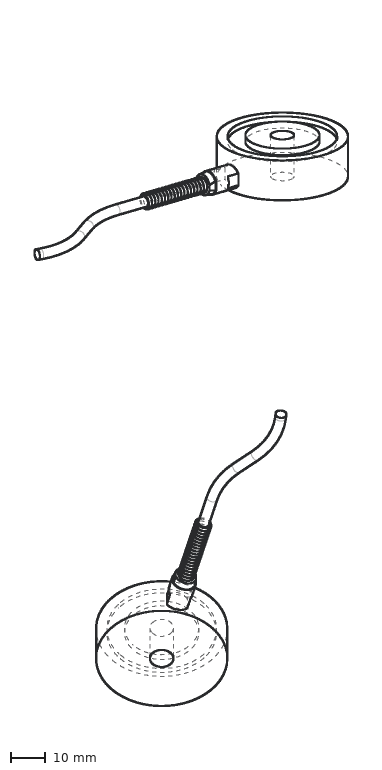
import cadquery as cq
import math

body_diameter = 37.59
overall_height = 12.7
hub_rise = 0.38
hub_diameter = 21.21
recess_diameter = 31.37
recess_depth = 1.6
bore_diameter = 6.71
rim_height = overall_height - hub_rise
body_radius = body_diameter / 2

gland_height = 4.59
gland_diameter = 7.06
gland_embed = 2.5
gland_length = 8.05
flat_length = 3.6
across_flats = 6.05
nose_start_diameter = 6.71
nose_end_diameter = 6.25
nose_length = 2.25

spring_diameter = 4.8
coil_count = 18
coil_pitch = 1.185
coil_depth = 0.4
spring_length = coil_count * coil_pitch

cable_diameter = 3.17
cable_tilt = 6.0
straight_length = 10.2
first_bend_radius = 25.4
first_bend_angle = 32.0
middle_length = 7.5
second_bend_radius = 24.5
second_bend_angle = 41.0
tip_length = 1.23

gland_end_y = -body_radius - gland_length
nose_end_y = gland_end_y - nose_length
spring_end_y = nose_end_y - spring_length


def make_body():
    """Disc with an annular recess around a raised hub and a through bore."""
    recess_floor = rim_height - recess_depth
    body = cq.Workplane("XY").circle(body_radius).extrude(rim_height)
    recess = (
        cq.Workplane("XY", origin=(0, 0, recess_floor))
        .circle(recess_diameter / 2)
        .extrude(recess_depth)
    )
    hub = cq.Workplane("XY").circle(hub_diameter / 2).extrude(overall_height)
    bore = cq.Workplane("XY").circle(bore_diameter / 2).extrude(overall_height)
    return body.cut(recess).union(hub).cut(bore)


def flat_block(start_y, length):
    """Block as wide as the wrench flats, used to trim a round stretch along -Y."""
    block = cq.Workplane("XY").box(across_flats, length, gland_diameter)
    return block.translate((0, start_y - length / 2, 0))


def make_gland():
    """Round gland with side flats at the body and on its tapered nose."""
    flat_start_y = -body_radius + gland_embed
    flat_end_y = -body_radius - flat_length
    barrel = (
        cq.Workplane("XY")
        .moveTo(0, flat_end_y)
        .lineTo(gland_diameter / 2, flat_end_y)
        .lineTo(gland_diameter / 2, gland_end_y)
        .lineTo(0, gland_end_y)
        .close()
        .revolve(360, (0, 0), (0, 1))
    )
    root = (
        cq.Workplane("XZ", origin=(0, flat_start_y, 0))
        .circle(gland_diameter / 2)
        .extrude(flat_start_y - flat_end_y)
        .intersect(flat_block(flat_start_y, flat_start_y - flat_end_y))
    )
    nose = (
        cq.Workplane("XY")
        .moveTo(0, gland_end_y)
        .lineTo(nose_start_diameter / 2, gland_end_y)
        .lineTo(nose_end_diameter / 2, nose_end_y)
        .lineTo(0, nose_end_y)
        .close()
        .revolve(360, (0, 0), (0, 1))
        .intersect(flat_block(gland_end_y, nose_length))
    )
    return root.union(barrel).union(nose)


def make_spring():
    """Row of touching rounded coils, revolved as one scalloped sleeve."""
    crest_radius = spring_diameter / 2
    valley_radius = crest_radius - coil_depth
    profile = cq.Workplane("XY").moveTo(0, nose_end_y).lineTo(valley_radius, nose_end_y)
    for coil in range(coil_count):
        coil_start_y = nose_end_y - coil * coil_pitch
        profile = profile.threePointArc(
            (crest_radius, coil_start_y - coil_pitch / 2),
            (valley_radius, coil_start_y - coil_pitch),
        )
    return profile.lineTo(0, spring_end_y).close().revolve(360, (0, 0), (0, 1))


def step(point, heading, length):
    """Point reached by moving along a heading, in degrees from -Y toward +X."""
    angle = math.radians(heading)
    return (point[0] + length * math.sin(angle), point[1] - length * math.cos(angle))


def bend(path, point, heading, radius, turn):
    """Add a tangent arc to the path; a positive turn swings toward +X."""
    chord = 2 * radius * math.sin(math.radians(abs(turn)) / 2)
    half_chord = 2 * radius * math.sin(math.radians(abs(turn)) / 4)
    middle = step(point, heading + turn / 4, half_chord)
    end = step(point, heading + turn / 2, chord)
    return path.threePointArc(middle, end), end


def make_cable():
    """Round cable swept along straight, bend, straight, bend, straight tip."""
    end_heading = first_bend_angle - second_bend_angle
    start = (0, spring_end_y)
    point = step(start, 0, straight_length)
    path = cq.Workplane("XY").moveTo(*start).lineTo(*point)
    path, point = bend(path, point, 0, first_bend_radius, first_bend_angle)
    point = step(point, first_bend_angle, middle_length)
    path = path.lineTo(*point)
    path, point = bend(path, point, first_bend_angle, second_bend_radius, -second_bend_angle)
    path = path.lineTo(*step(point, end_heading, tip_length))
    cable = cq.Workplane("XZ", origin=(0, spring_end_y, 0)).circle(cable_diameter / 2).sweep(path)
    return cable.rotate((0, 0, 0), (0, 1, 0), cable_tilt)


lead = make_gland().union(make_spring()).union(make_cable())
result = make_body().union(lead.translate((0, 0, gland_height)))